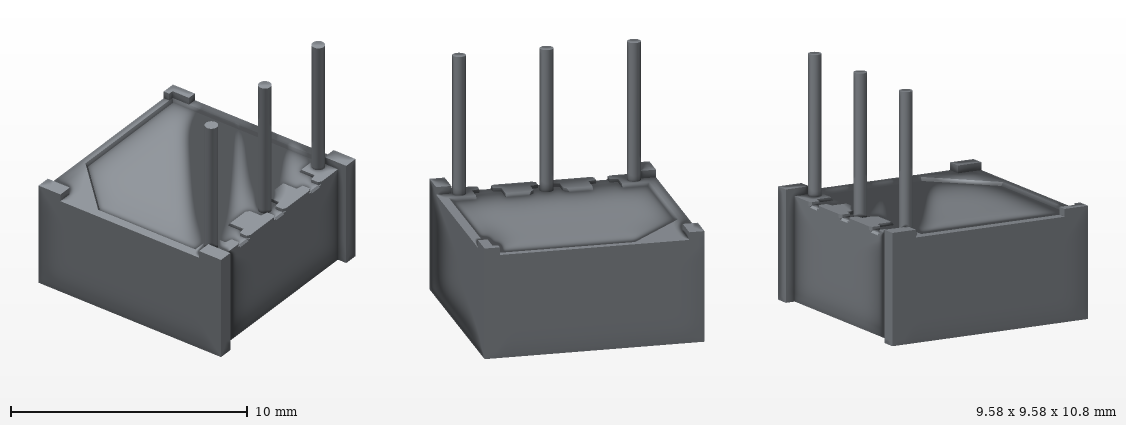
import cadquery as cq
import math

CASE_SIZE = 9.58
RIM_HEIGHT = 4.59
STANDOFF_HEIGHT = 0.34
SIDE_RECESS_DEPTH = 0.435
HALF = CASE_SIZE / 2
RECESSED_FACE_X = HALF - SIDE_RECESS_DEPTH

STANDOFF_LENGTH = 1.15
STANDOFF_WIDTH = 0.66

POCKET_DEPTH = 0.15
POCKET_WALL_RUN = 0.1
POCKET_LEFT = -HALF + 0.29
POCKET_RIGHT = -HALF + 7.92
POCKET_HALF_WIDTH = HALF - 0.42
POCKET_CORNER_CUT = 2.53
POCKET_FLOOR_Z = RIM_HEIGHT - POCKET_DEPTH
FLOOR_RIGHT = POCKET_RIGHT - POCKET_WALL_RUN

SLOT_PITCH = 2.54
SLOT_WIDE = 1.28
SLOT_NARROW = 0.59
SLOT_STEP_X = -HALF + 8.62
SLOT_STEP_SLANT = 0.07
SLOT_MOUTH_RUN = 0.085
SLOT_MOUTH_FLARE = 0.15
SLOT_MOUTH_X = RECESSED_FACE_X - SLOT_MOUTH_RUN
CENTRE_SLOT_CHAMFER = 0.24

PIN_DIAMETER = 0.58
PIN_PITCH = 3.81
PIN_X = -HALF + 8.35
PIN_TOP_Z = 10.77


def make_case():
    case = cq.Workplane("XY").box(CASE_SIZE, CASE_SIZE, RIM_HEIGHT, centered=(True, True, False))
    standoffs = (
        cq.Workplane("XY")
        .rarray(CASE_SIZE - STANDOFF_LENGTH, CASE_SIZE - STANDOFF_WIDTH, 2, 2)
        .rect(STANDOFF_LENGTH, STANDOFF_WIDTH)
        .extrude(RIM_HEIGHT + STANDOFF_HEIGHT)
    )
    recess = (
        cq.Workplane("XY")
        .center(HALF, 0)
        .rect(2 * SIDE_RECESS_DEPTH, CASE_SIZE - 2 * STANDOFF_WIDTH)
        .extrude(RIM_HEIGHT)
    )
    return case.union(standoffs).cut(recess)


def pocket_outline():
    return (
        cq.Workplane("XY", origin=(0, 0, RIM_HEIGHT))
        .moveTo(POCKET_LEFT, POCKET_HALF_WIDTH)
        .lineTo(POCKET_RIGHT, POCKET_HALF_WIDTH)
        .lineTo(POCKET_RIGHT, -POCKET_HALF_WIDTH)
        .lineTo(POCKET_LEFT + POCKET_CORNER_CUT, -POCKET_HALF_WIDTH)
        .lineTo(POCKET_LEFT, -POCKET_HALF_WIDTH + POCKET_CORNER_CUT)
        .close()
    )


def make_pocket():
    wall_angle = math.degrees(math.atan2(POCKET_WALL_RUN, POCKET_DEPTH))
    below_rim = pocket_outline().extrude(-POCKET_DEPTH, taper=wall_angle)
    above_rim = pocket_outline().extrude(STANDOFF_HEIGHT)
    return below_rim.union(above_rim)


def slot_prism(half_outline, y):
    """Mirror one half outline about the slot's centre line and cut it down to the floor."""
    other_half = [(px, -py) for px, py in reversed(half_outline)]
    return (
        cq.Workplane("XY", origin=(0, y, POCKET_FLOOR_Z))
        .polyline(half_outline + other_half)
        .close()
        .extrude(POCKET_DEPTH)
    )


def make_slot(y, entry_chamfer=0):
    wide = SLOT_WIDE / 2
    narrow = SLOT_NARROW / 2
    half_outline = [
        (FLOOR_RIGHT, wide + entry_chamfer),
        (FLOOR_RIGHT + entry_chamfer, wide),
        (SLOT_STEP_X, wide),
        (SLOT_STEP_X + SLOT_STEP_SLANT, narrow),
        (SLOT_MOUTH_X, narrow),
        (RECESSED_FACE_X, narrow + SLOT_MOUTH_FLARE),
    ]
    if not entry_chamfer:
        half_outline.pop(0)
    lip = (
        cq.Workplane("XZ", origin=(0, y, 0))
        .moveTo(SLOT_MOUTH_X, POCKET_FLOOR_Z)
        .lineTo(RECESSED_FACE_X, POCKET_FLOOR_Z)
        .lineTo(RECESSED_FACE_X, POCKET_FLOOR_Z - SLOT_MOUTH_RUN)
        .close()
        .extrude(narrow, both=True)
    )
    return slot_prism(half_outline, y).union(lip)


def make_pin(y):
    return (
        cq.Workplane("XY", origin=(PIN_X, y, POCKET_FLOOR_Z))
        .circle(PIN_DIAMETER / 2)
        .extrude(PIN_TOP_Z - POCKET_FLOOR_Z)
    )


result = make_case().cut(make_pocket())
result = result.cut(make_slot(0, CENTRE_SLOT_CHAMFER))
for side in (-1, 1):
    result = result.cut(make_slot(side * SLOT_PITCH))
for position in (-1, 0, 1):
    result = result.union(make_pin(position * PIN_PITCH))